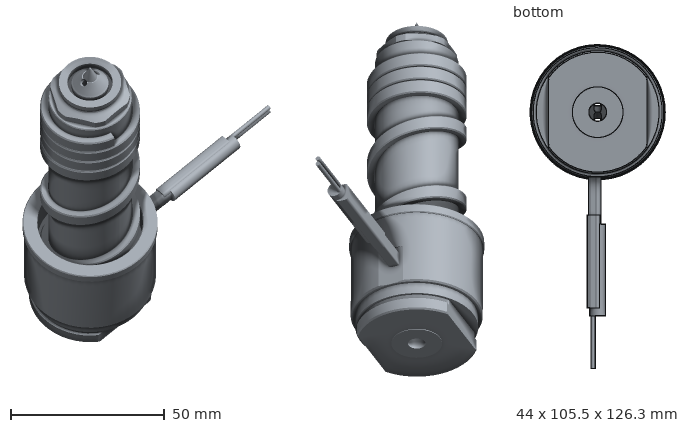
import cadquery as cq
import math


BOSS_TOP = 0.2
GROOVE_BOTTOM = 4.4
GROOVE_TOP = 6.3
BODY_BOTTOM = 10.3
BORE_FLOOR = 30.0
FLANGE_BOTTOM = 36.9
BODY_TOP = 40.1
TUBE_TOP = 110.3
HEX_BOTTOM = 110.9
HEX_RIM = 113.3
HEX_TOP = 114.4
COLLAR_BOTTOM = 116.0
COLLAR_TOP = 118.05
RECESS_FLOOR = 115.5
PLUG_RIM = 117.7
NEEDLE_BASE = 121.1
TIP_TOP = 126.3

BOSS_RADIUS = 8.25
BASE_RADIUS = 20.0
GROOVE_RADIUS = 19.1
BASE_ACROSS_FLATS = 32.0
BODY_RADIUS = 21.5
FLANGE_RADIUS = 22.0
BODY_BORE_RADIUS = 17.2
EDGE_CHAMFER = 0.3
LOWER_CHAMFER = 0.5

CABLE_FLAT_Y = 21.05
CABLE_FLAT_TOP = 24.1

TUBE_RADIUS = 13.6
NECK_RADIUS = 11.0
HEX_SIDES = 6
HEX_ACROSS_FLATS = 24.2
HEX_CORNER_RADIUS = 13.1
COLLAR_NECK_RADIUS = 9.5
COLLAR_RADIUS = 10.15
RECESS_RADIUS = 7.4
PLUG_RADIUS = 6.0
CONE_BASE_RADIUS = 5.6
CONE_TOP_RADIUS = 2.6
NEEDLE_RADIUS = 2.3

CHANNEL_RADIUS = 2.9
CHANNEL_TOP = 119.2
OUTLET_DIAMETER = 2.5
OUTLET_OFFSET = 2.9
OUTLET_HEIGHT = 120.6
OUTLET_TILT = 45.0

STRAND_HEIGHT = 4.9
STRAND_OUTER_RADIUS = 16.25
STRAND_EMBED = 0.6
STRAND_CHAMFER = 0.4
STRAND_START_ANGLE = -15.5
STRAND_START_Z = 104.35
DENSE_SWEEP = 1093.2
TRANSITION_SWEEP = 117.6
TOTAL_SWEEP = 2000.0
DENSE_PITCH = 5.3
OPEN_PITCH = 27.2
STRAND_STEP = 15.0

LEAD_Z = 19.4
WIRE_Z = 19.55
LEAD_START_Y = 20.0
SLEEVE_START_Y = 33.5
SLEEVE_END_Y = 63.7
JACKET_START_Y = 36.4
JACKET_END_Y = 66.3
OVERALL_DEPTH = 105.5
WIRE_END_Y = OVERALL_DEPTH - FLANGE_RADIUS
JACKET_RADIUS = 2.6
LEAD_HEIGHT = 5.0
LEAD_LEFT = -3.05
LEAD_RIGHT = 1.1
LEAD_LEFT_FILLET = 0.5
LEAD_RIGHT_FILLET = 1.7
SLEEVE_HEIGHT = 6.2
SLEEVE_LEFT = -3.4
SLEEVE_RIGHT = 0.7
SLEEVE_LEFT_FILLET = 0.9
SLEEVE_RIGHT_FILLET = 1.3
WIRE_RADIUS = 0.75
WIRE_X = -1.5
WIRE_SPACING = 2.1


def cylinder(radius, bottom, top):
    return cq.Workplane("XY").workplane(offset=bottom).circle(radius).extrude(top - bottom)


def make_base():
    boss = cylinder(BOSS_RADIUS, 0, BOSS_TOP)
    foot = cylinder(BASE_RADIUS, BOSS_TOP, GROOVE_BOTTOM).faces("<Z").chamfer(LOWER_CHAMFER)
    groove = cylinder(GROOVE_RADIUS, GROOVE_BOTTOM, GROOVE_TOP)
    flats = cq.Workplane("XY").box(
        BASE_ACROSS_FLATS, 2 * BASE_RADIUS, GROOVE_TOP, centered=(True, True, False)
    )
    shoulder = cylinder(BASE_RADIUS, GROOVE_TOP, BODY_BOTTOM)
    return boss.union(foot).union(groove).intersect(flats).union(shoulder)


def make_body():
    barrel = cylinder(BODY_RADIUS, BODY_BOTTOM, FLANGE_BOTTOM).faces("<Z").chamfer(LOWER_CHAMFER)
    flange = cylinder(FLANGE_RADIUS, FLANGE_BOTTOM, BODY_TOP).edges().chamfer(EDGE_CHAMFER)
    body = barrel.union(flange)
    bore = cylinder(BODY_BORE_RADIUS, BORE_FLOOR, BODY_TOP)
    body = body.cut(bore).faces(">Z").edges(cq.selectors.RadiusNthSelector(0)).chamfer(EDGE_CHAMFER)
    flat = cq.Workplane("XY").box(
        2 * BODY_RADIUS, BODY_RADIUS, CABLE_FLAT_TOP - BODY_BOTTOM, centered=(True, False, False)
    )
    return body.cut(flat.translate((0, CABLE_FLAT_Y, BODY_BOTTOM)))


def make_tube():
    tube = cylinder(TUBE_RADIUS, GROOVE_TOP, TUBE_TOP).faces(">Z").chamfer(EDGE_CHAMFER)
    return tube.union(cylinder(NECK_RADIUS, TUBE_TOP, HEX_BOTTOM))


def make_hexagon():
    half_side_angle = 180 / HEX_SIDES
    corner_diameter = HEX_ACROSS_FLATS / math.cos(math.radians(half_side_angle))
    prism = (
        cq.Workplane("XY")
        .workplane(offset=HEX_BOTTOM)
        .transformed(rotate=(0, 0, half_side_angle))
        .polygon(HEX_SIDES, corner_diameter)
        .extrude(HEX_TOP - HEX_BOTTOM)
    )
    turned_limit = (
        cq.Workplane("XZ")
        .moveTo(0, HEX_BOTTOM)
        .lineTo(HEX_CORNER_RADIUS, HEX_BOTTOM)
        .lineTo(HEX_CORNER_RADIUS, HEX_RIM)
        .lineTo(COLLAR_NECK_RADIUS + EDGE_CHAMFER, HEX_TOP)
        .lineTo(0, HEX_TOP)
        .close()
        .revolve(360, (0, 0, 0), (0, 1, 0))
    )
    return prism.intersect(turned_limit)


def make_tip():
    profile = [
        (0, HEX_TOP),
        (COLLAR_NECK_RADIUS + EDGE_CHAMFER, HEX_TOP),
        (COLLAR_NECK_RADIUS, HEX_TOP + EDGE_CHAMFER),
        (COLLAR_NECK_RADIUS, COLLAR_BOTTOM),
        (COLLAR_RADIUS - EDGE_CHAMFER, COLLAR_BOTTOM),
        (COLLAR_RADIUS, COLLAR_BOTTOM + EDGE_CHAMFER),
        (COLLAR_RADIUS, COLLAR_TOP),
        (RECESS_RADIUS, COLLAR_TOP),
        (RECESS_RADIUS, RECESS_FLOOR),
        (PLUG_RADIUS, RECESS_FLOOR),
        (PLUG_RADIUS, PLUG_RIM),
        (CONE_BASE_RADIUS, COLLAR_TOP),
        (CONE_TOP_RADIUS, NEEDLE_BASE),
        (NEEDLE_RADIUS, NEEDLE_BASE),
        (0, TIP_TOP),
    ]
    return cq.Workplane("XZ").polyline(profile).close().revolve(360, (0, 0, 0), (0, 1, 0))


def make_channels():
    channels = cylinder(CHANNEL_RADIUS, 0, CHANNEL_TOP)
    tilt = math.radians(OUTLET_TILT)
    reach = OUTLET_OFFSET / math.cos(tilt)
    for side in (1, -1):
        start = cq.Vector(0, 0, OUTLET_HEIGHT - reach * math.sin(tilt))
        direction = cq.Vector(0, side * math.cos(tilt), math.sin(tilt))
        outlet = cq.Solid.makeCylinder(OUTLET_DIAMETER / 2, 2 * reach, start, direction)
        channels = channels.union(cq.Workplane(outlet))
    return channels


def strand_drop(sweep):
    """Height lost by the strand centre after turning down through `sweep` degrees."""
    in_dense = min(sweep, DENSE_SWEEP)
    in_transition = min(max(sweep - DENSE_SWEEP, 0), TRANSITION_SWEEP)
    in_open = max(sweep - DENSE_SWEEP - TRANSITION_SWEEP, 0)
    pitch_gain = (OPEN_PITCH - DENSE_PITCH) * in_transition / TRANSITION_SWEEP
    transition_pitch = DENSE_PITCH + pitch_gain / 2
    return (in_dense * DENSE_PITCH + in_transition * transition_pitch + in_open * OPEN_PITCH) / 360


def strand_point(sweep, radius, offset):
    angle = math.radians(STRAND_START_ANGLE - sweep)
    height = STRAND_START_Z - strand_drop(sweep) + offset
    return cq.Vector(radius * math.cos(angle), radius * math.sin(angle), height)


def make_strand():
    inner = TUBE_RADIUS - STRAND_EMBED
    half = STRAND_HEIGHT / 2
    shoulder = half - STRAND_CHAMFER
    hidden_shoulder = shoulder - STRAND_EMBED
    crown_inner = TUBE_RADIUS + STRAND_CHAMFER
    crown_outer = STRAND_OUTER_RADIUS - STRAND_CHAMFER
    corners = [
        (inner, -hidden_shoulder),
        (crown_inner, -half),
        (crown_outer, -half),
        (STRAND_OUTER_RADIUS, -shoulder),
        (STRAND_OUTER_RADIUS, shoulder),
        (crown_outer, half),
        (crown_inner, half),
        (inner, hidden_shoulder),
    ]
    transition_end = DENSE_SWEEP + TRANSITION_SWEEP
    stations = [0, DENSE_SWEEP, transition_end, TOTAL_SWEEP]
    faces = []
    for first, last in zip(stations, stations[1:]):
        steps = math.ceil((last - first) / STRAND_STEP)
        sweeps = [first + (last - first) * i / steps for i in range(steps + 1)]
        rails = [cq.Edge.makeSpline([strand_point(s, *corner) for s in sweeps]) for corner in corners]
        for rail, next_rail in zip(rails, rails[1:] + rails[:1]):
            faces.append(cq.Face.makeRuledSurface(rail, next_rail))
    for sweep in (0, TOTAL_SWEEP):
        outline = cq.Wire.makePolygon([strand_point(sweep, *corner) for corner in corners], close=True)
        faces.append(cq.Face.makeFromWires(outline))
    return cq.Workplane(cq.Solid.makeSolid(cq.Shell.makeShell(faces)))


def cable_bar(left, right, height, start, end):
    bar = cq.Workplane("XY").box(right - left, end - start, height, centered=False)
    return bar.translate((left, start, LEAD_Z - height / 2))


def cable_rod(radius, x, z, start, end):
    rod = cq.Solid.makeCylinder(radius, end - start, cq.Vector(x, start, z), cq.Vector(0, 1, 0))
    return cq.Workplane(rod)


def make_cable():
    lead = cable_bar(LEAD_LEFT, LEAD_RIGHT, LEAD_HEIGHT, LEAD_START_Y, JACKET_START_Y)
    lead = lead.edges("|Y and <X").fillet(LEAD_LEFT_FILLET)
    lead = lead.edges("|Y and >X").fillet(LEAD_RIGHT_FILLET)
    sleeve = cable_bar(SLEEVE_LEFT, SLEEVE_RIGHT, SLEEVE_HEIGHT, SLEEVE_START_Y, SLEEVE_END_Y)
    sleeve = sleeve.edges("|Y and <X").fillet(SLEEVE_LEFT_FILLET)
    sleeve = sleeve.edges("|Y and >X").fillet(SLEEVE_RIGHT_FILLET)
    cable = lead.union(sleeve)
    cable = cable.union(cable_rod(JACKET_RADIUS, 0, WIRE_Z, JACKET_START_Y, JACKET_END_Y))
    for side in (1, -1):
        wire_z = WIRE_Z + side * WIRE_SPACING / 2
        cable = cable.union(cable_rod(WIRE_RADIUS, WIRE_X, wire_z, SLEEVE_END_Y, WIRE_END_Y))
    return cable


nozzle = make_base().union(make_body()).union(make_tube())
nozzle = nozzle.union(make_hexagon()).union(make_tip())
nozzle = nozzle.union(make_strand()).union(make_cable())
result = nozzle.cut(make_channels())